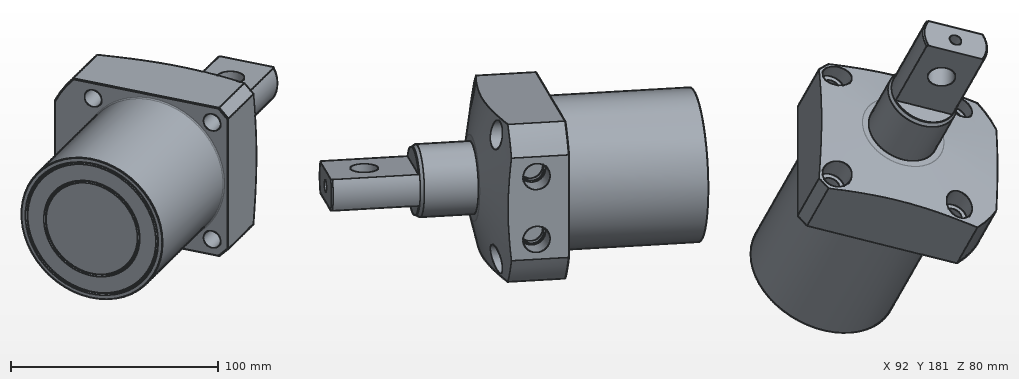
import cadquery as cq
import math

OVERALL_LENGTH = 181.0

BARREL_RADIUS = 37.5
BARREL_END_CHAMFER = 0.27
BARREL_ROOT_FILLET = 0.5
FLANGE_BACK_Y = 71.0
FLANGE_FRONT_Y = 109.3
FLANGE_LEFT = 52.0
FLANGE_RIGHT = 40.0
FLANGE_HALF_HEIGHT = FLANGE_RIGHT
FLANGE_CORNER_RADIUS = 58.1
FLANGE_CORNER_CHAMFER = 4.9
FLANGE_BACK_CHAMFER = 0.45
CONE_START_RADIUS = 21.0
CONE_ANGLE = 15.0
CONE_OVERRUN = 1.8

BOLT_HOLE_DIAMETER = 9.0
BOLT_OFFSET = 31.5
COUNTERBORE_DIAMETER = 14.1
COUNTERBORE_SEAT_Y = 94.1
PORT_THREAD_DIAMETER = 13.2
PORT_THREAD_DEPTH = 12.0
PORT_CORE_DIAMETER = 11.5
PORT_CORE_DEPTH = 15.5
PORT_Y = 87.0
PORT_OFFSET_Z = 16.0

RING_OUTER_RADIUS = 34.5
RING_LENGTH = 18.1
PISTON_RADIUS = 24.8
JOINT_CHAMFER = 0.63

ROD_RADIUS = 17.7
ROD_SHOULDER_Y = 137.5
TANG_FLAT_START_Y = 138.1
SHOULDER_CHAMFER_LENGTH = 1.8
TANG_RADIUS = 16.7
TANG_THICKNESS = 16.0
TIP_CHAMFER = 0.7
TANG_HOLE_DIAMETER = 13.4
TANG_HOLE_FROM_TIP = 19.0
TIP_HOLE_DIAMETER = 6.0


def turned(profile):
    """Revolve a list of (radius, y) points about the Y axis."""
    return cq.Workplane("XY").polyline(profile).close().revolve(360, (0, 0, 0), (0, 1, 0))


def rod_along_y(radius, start_y, end_y):
    """Plain cylinder on the Y axis."""
    return turned([(0, start_y), (radius, start_y), (radius, end_y), (0, end_y)])


def flange_block():
    """Square flange: arcs about the axis at the left corners, bevels at the right ones."""
    top = FLANGE_HALF_HEIGHT
    arc_start_x = -math.sqrt(FLANGE_CORNER_RADIUS**2 - top**2)
    arc_end_z = math.sqrt(FLANGE_CORNER_RADIUS**2 - FLANGE_LEFT**2)
    mid_angle = (math.atan2(top, -arc_start_x) + math.atan2(arc_end_z, FLANGE_LEFT)) / 2
    mid_x = -FLANGE_CORNER_RADIUS * math.cos(mid_angle)
    mid_z = FLANGE_CORNER_RADIUS * math.sin(mid_angle)
    bevel_x = FLANGE_RIGHT - FLANGE_CORNER_CHAMFER
    bevel_z = top - FLANGE_CORNER_CHAMFER
    block = (
        cq.Workplane("XZ", origin=(0, FLANGE_BACK_Y, 0))
        .moveTo(arc_start_x, top)
        .lineTo(bevel_x, top)
        .lineTo(FLANGE_RIGHT, bevel_z)
        .lineTo(FLANGE_RIGHT, -bevel_z)
        .lineTo(bevel_x, -top)
        .lineTo(arc_start_x, -top)
        .threePointArc((mid_x, -mid_z), (-FLANGE_LEFT, -arc_end_z))
        .lineTo(-FLANGE_LEFT, arc_end_z)
        .threePointArc((mid_x, mid_z), (arc_start_x, top))
        .close()
        .extrude(-(FLANGE_FRONT_Y - FLANGE_BACK_Y))
    )
    block = block.faces("<Y").chamfer(FLANGE_BACK_CHAMFER)
    return block.intersect(cone_envelope())


def cone_envelope():
    """Turned shape whose conical front trims the flange face."""
    cone_end_radius = FLANGE_CORNER_RADIUS + CONE_OVERRUN
    cone_drop = (cone_end_radius - CONE_START_RADIUS) * math.tan(math.radians(CONE_ANGLE))
    return turned([
        (0, FLANGE_BACK_Y),
        (cone_end_radius, FLANGE_BACK_Y),
        (cone_end_radius, FLANGE_FRONT_Y - cone_drop),
        (CONE_START_RADIUS, FLANGE_FRONT_Y),
        (0, FLANGE_FRONT_Y),
    ])


def barrel():
    """Round barrel with a chamfered end and a small fillet where it meets the flange."""
    end = BARREL_RADIUS - BARREL_END_CHAMFER
    fillet_y = FLANGE_BACK_Y - BARREL_ROOT_FILLET
    fillet_radius = BARREL_RADIUS + BARREL_ROOT_FILLET
    fillet_leg = BARREL_ROOT_FILLET * (1 - math.sqrt(0.5))
    fillet_middle = (BARREL_RADIUS + fillet_leg, FLANGE_BACK_Y - fillet_leg)
    return (
        cq.Workplane("XY")
        .moveTo(0, 0)
        .lineTo(end, 0)
        .lineTo(BARREL_RADIUS, BARREL_END_CHAMFER)
        .lineTo(BARREL_RADIUS, fillet_y)
        .threePointArc(fillet_middle, (fillet_radius, FLANGE_BACK_Y))
        .lineTo(0, FLANGE_BACK_Y)
        .close()
        .revolve(360, (0, 0, 0), (0, 1, 0))
    )


def bolt_pattern(diameter, start_y):
    """Four cylinders, one near each flange corner, from start_y out through the flange front."""
    return (
        cq.Workplane("XZ", origin=(0, start_y, 0))
        .rect(2 * BOLT_OFFSET, 2 * BOLT_OFFSET, forConstruction=True)
        .vertices()
        .circle(diameter / 2)
        .extrude(start_y - FLANGE_FRONT_Y)
    )


def bolt_holes():
    """Cutters for the through bolt holes and their counterbores in the flange front."""
    through = bolt_pattern(BOLT_HOLE_DIAMETER, FLANGE_BACK_Y)
    counterbores = bolt_pattern(COUNTERBORE_DIAMETER, COUNTERBORE_SEAT_Y)
    return through.union(counterbores)


def port(offset_z):
    """Oil port cutter in the left flange face: a threaded length, then a narrower core hole."""
    mouth = cq.Workplane("YZ", origin=(-FLANGE_LEFT, PORT_Y, offset_z))
    thread = mouth.circle(PORT_THREAD_DIAMETER / 2).extrude(PORT_THREAD_DEPTH)
    core = mouth.circle(PORT_CORE_DIAMETER / 2).extrude(PORT_CORE_DEPTH)
    return thread.union(core)


def stepped_bore():
    """Cutter for the ring seat, the piston bore and the rod bore."""
    ring_seat = turned([
        (0, 0),
        (RING_OUTER_RADIUS + JOINT_CHAMFER, 0),
        (RING_OUTER_RADIUS, JOINT_CHAMFER),
        (RING_OUTER_RADIUS, RING_LENGTH),
        (0, RING_LENGTH),
    ])
    piston_bore = rod_along_y(PISTON_RADIUS, 0, FLANGE_BACK_Y)
    rod_bore = rod_along_y(ROD_RADIUS, 0, FLANGE_FRONT_Y)
    return ring_seat.union(piston_bore).union(rod_bore)


def make_housing():
    """Barrel and flange in one piece, with its bores and holes."""
    body = barrel().union(flange_block()).cut(stepped_bore()).cut(bolt_holes())
    for side in (-1, 1):
        body = body.cut(port(side * PORT_OFFSET_Z))
    return body


def make_ring():
    """Retaining ring, chamfered at both edges of its end face."""
    return turned([
        (PISTON_RADIUS, JOINT_CHAMFER),
        (PISTON_RADIUS + JOINT_CHAMFER, 0),
        (RING_OUTER_RADIUS - JOINT_CHAMFER, 0),
        (RING_OUTER_RADIUS, JOINT_CHAMFER),
        (RING_OUTER_RADIUS, RING_LENGTH),
        (PISTON_RADIUS, RING_LENGTH),
    ])


def make_piston_rod():
    """Piston and rod in one piece, ending in a flat tang with a cross hole and a tip hole."""
    rod = turned([
        (0, 0),
        (PISTON_RADIUS - JOINT_CHAMFER, 0),
        (PISTON_RADIUS, JOINT_CHAMFER),
        (PISTON_RADIUS, FLANGE_BACK_Y),
        (ROD_RADIUS, FLANGE_BACK_Y),
        (ROD_RADIUS, ROD_SHOULDER_Y - SHOULDER_CHAMFER_LENGTH),
        (TANG_RADIUS, ROD_SHOULDER_Y),
        (TANG_RADIUS, OVERALL_LENGTH - TIP_CHAMFER),
        (TANG_RADIUS - TIP_CHAMFER, OVERALL_LENGTH),
        (0, OVERALL_LENGTH),
    ])
    flat_length = OVERALL_LENGTH - TANG_FLAT_START_Y
    for side in (-1, 1):
        flat_z = side * (TANG_THICKNESS + TANG_RADIUS) / 2
        flat_cut = cq.Workplane("XY", origin=(0, OVERALL_LENGTH - flat_length / 2, flat_z)).box(
            2 * TANG_RADIUS, flat_length, TANG_RADIUS)
        rod = rod.cut(flat_cut)
    hole_y = OVERALL_LENGTH - TANG_HOLE_FROM_TIP
    cross_hole = (
        cq.Workplane("XY", origin=(0, hole_y, 0))
        .circle(TANG_HOLE_DIAMETER / 2)
        .extrude(TANG_THICKNESS, both=True)
    )
    tip_hole = rod_along_y(TIP_HOLE_DIAMETER / 2, hole_y, OVERALL_LENGTH)
    return rod.cut(cross_hole).cut(tip_hole)


housing = make_housing()
ring = make_ring()
piston_rod = make_piston_rod()
result = cq.Compound.makeCompound([housing.val(), ring.val(), piston_rod.val()])